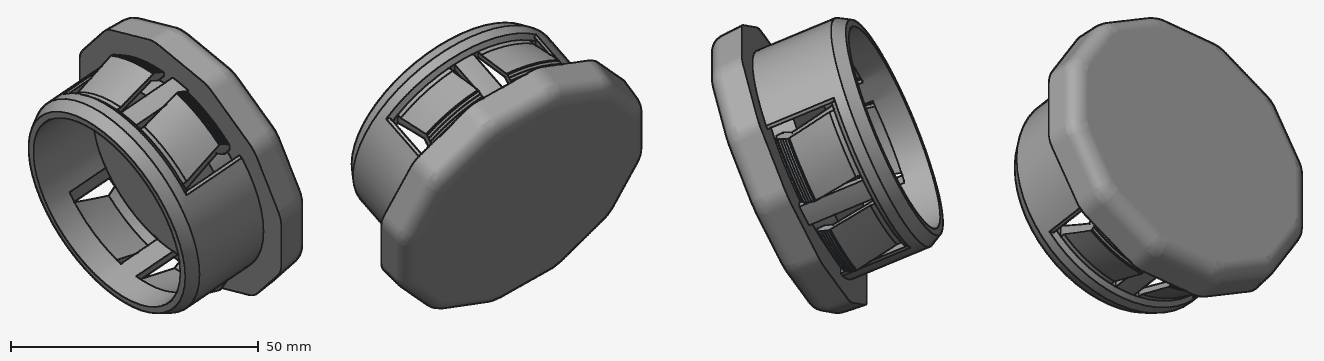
import cadquery as cq
import math


cap_width = 60.5
cap_sides = 12
cap_draft = 4.0
cap_corner_radius = 6.65
cap_edge_radius = 3.4
flange_y = 20.0
total_length = 28.0

tube_radius = 50.0 / 2
bore_radius = 44.1 / 2
end_chamfer_length = 2.6
end_chamfer_depth = 1.45

overlap = 0.6

plug_radius = 41.45 / 2
plug_face_y = 15.05

window_half_width = 17.7
window_end_y = 5.9
recess_radius = 24.0
rib_half_width = 2.3
side_chamfer_width = 0.7
side_chamfer_height = 0.2

latch_inner_x = 3.5
latch_outer_x = 16.3
hinge_end_y = 6.95
barb_radius = 27.4
barb_start_y = 15.85
barb_top_y = 16.2
barb_end_y = 18.75
barb_end_radius = 25.5
barb_foot_radius = 24.6
tooth_count = 4
teeth_end_y = 18.5
teeth_end_radius = 25.9
tooth_step = 0.1
barb_inner_y = 17.25
barb_inner_radius = 24.4
arm_inner_y = 15.25
arm_inner_radius = 25.7


def disc(radius, start_y, end_y):
    """Solid cylinder on the Y axis between two Y positions."""
    return cq.Workplane("XZ", origin=(0, start_y, 0)).circle(radius).extrude(start_y - end_y)


def revolved(profile):
    """Solid of revolution about Y from (radius, y) points."""
    return cq.Workplane("XY").polyline(profile).close().revolve(360, (0, 0), (0, 1))


def upper_block(left_x, right_x, start_y, end_y):
    """Block on the +Z side that spans the full height of the tube and latches."""
    return cq.Workplane("XY").box(
        right_x - left_x, end_y - start_y, cap_width / 2, centered=False
    ).translate((left_x, start_y, 0))


def make_cap():
    """Drafted twelve-sided cap with a flat across each of the X and Z directions."""
    half_corner_angle = 180 / cap_sides
    corner_diameter = cap_width / math.cos(math.radians(half_corner_angle))
    flange_plane = cq.Plane(origin=(0, flange_y, 0), xDir=(1, 0, 0), normal=(0, 1, 0))
    return (
        cq.Workplane(flange_plane)
        .transformed(rotate=(0, 0, half_corner_angle))
        .polygon(cap_sides, corner_diameter)
        .extrude(total_length - flange_y, taper=cap_draft)
        .edges("not #Y")
        .fillet(cap_corner_radius)
        .faces(">Y")
        .edges()
        .fillet(cap_edge_radius)
    )


def make_tube():
    """Straight tube with its open end chamfered on the outside."""
    return revolved([
        (bore_radius, 0),
        (tube_radius - end_chamfer_depth, 0),
        (tube_radius, end_chamfer_length),
        (tube_radius, flange_y),
        (bore_radius, flange_y),
    ])


def window_area():
    """Prism over one window, with a shallow chamfer along both long sides."""
    surface_x = window_half_width + side_chamfer_width
    surface_z = math.sqrt(tube_radius**2 - surface_x**2)
    chamfer_z = surface_z + side_chamfer_height
    top_z = cap_width / 2
    return (
        cq.Workplane("XZ")
        .polyline([
            (-window_half_width, 0),
            (window_half_width, 0),
            (window_half_width, chamfer_z),
            (surface_x, surface_z),
            (surface_x, top_z),
            (-surface_x, top_z),
            (-surface_x, surface_z),
            (-window_half_width, chamfer_z),
        ])
        .close()
        .extrude(-flange_y)
    )


def window_recess():
    """Thins the wall over one window, with a 45 degree bevel at the window end."""
    bevel = tube_radius - recess_radius
    ring = revolved([
        (recess_radius, window_end_y),
        (tube_radius, window_end_y - bevel),
        (cap_width / 2, window_end_y - bevel),
        (cap_width / 2, flange_y),
        (recess_radius, flange_y),
    ])
    return ring.intersect(window_area())


def window_openings():
    """Two openings through the wall, one on each side of the rib."""
    right = upper_block(rib_half_width, window_half_width, window_end_y, flange_y)
    openings = right.union(right.mirror("YZ"))
    return openings.cut(disc(bore_radius - overlap, 0, flange_y))


def barb_teeth():
    """(radius, y) points down the barb slope: sloped teeth, each ending in a small step inward."""
    pitch = (teeth_end_y - barb_top_y) / tooth_count
    drop = (barb_radius - teeth_end_radius) / tooth_count
    points = []
    for tooth in range(tooth_count):
        start_radius = barb_radius - tooth * drop
        start_y = barb_top_y + tooth * pitch
        points.append((start_radius, start_y))
        points.append((start_radius - drop + tooth_step, start_y + pitch))
    return points + [(teeth_end_radius, teeth_end_y)]


def latch_pair():
    """Two barbed spring arms, cut from one revolved profile."""
    ring = revolved([
        (bore_radius, window_end_y),
        (bore_radius, window_end_y - overlap),
        (recess_radius, window_end_y - overlap),
        (recess_radius, hinge_end_y),
        (barb_radius, barb_start_y),
        *barb_teeth(),
        (barb_end_radius, barb_end_y),
        (barb_foot_radius, barb_end_y),
        (barb_inner_radius, barb_inner_y),
        (arm_inner_radius, arm_inner_y),
    ])
    right = ring.intersect(upper_block(latch_inner_x, latch_outer_x, 0, flange_y))
    return right.union(right.mirror("YZ"))


tube = make_tube()
recess = window_recess()
openings = window_openings()
latches = latch_pair()
for cutter in (recess, openings):
    tube = tube.cut(cutter).cut(cutter.mirror("XY"))

result = (
    make_cap()
    .union(disc(plug_radius, plug_face_y, flange_y + overlap))
    .union(tube)
    .union(latches)
    .union(latches.mirror("XY"))
)